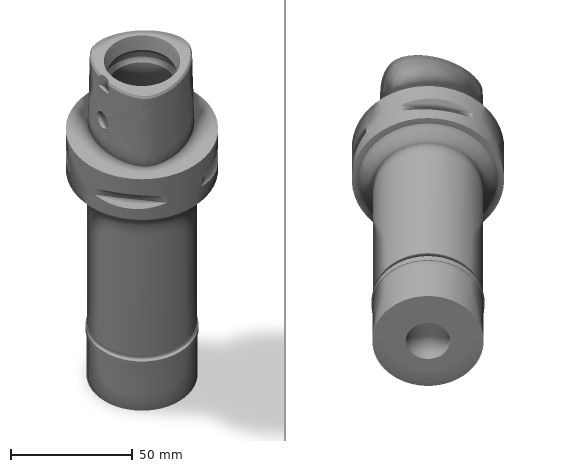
import cadquery as cq
import math


total_height = 173.0
through_hole_radius = 9.2

shank_base_width = 44.1
shank_height = 37.5
shank_taper = 1 / 20
lobe_rise = 1.5
outline_points = 36
shank_chamfer_inset = 0.7
shank_chamfer_height = 1.0
shank_base_z = total_height - shank_height
shank_chamfer_z = total_height - shank_chamfer_height

flange_radius = 31.5
flange_height = 22.5
flange_bottom_z = shank_base_z - flange_height
cone_top_radius = 28.7
body_radius = 22.8
cone_bottom_z = flange_bottom_z - (cone_top_radius - body_radius)
neck_radius = 19.7
neck_height = 2.8

groove_count = 4
groove_first_angle = 45.0
groove_floor_distance = 27.7
groove_floor_height = 3.8
groove_mouth_height = 8.0
groove_center_height = 9.9
groove_center_z = flange_bottom_z + groove_center_height

mouth_radius = 15.7
lip_radius = 14.2
lip_depth = 6.5
undercut_radius = 16.1
undercut_top_depth = 9.2
undercut_bottom_depth = 12.0
bore_radius = 14.0
bore_shoulder_depth = 13.3
bore_floor_z = shank_base_z

side_hole_radius = 4.0
side_hole_depth = 22.3
notch_radius = 5.0
notch_deepest_y = -18.0
notch_height = 5.9

nut_height = 27.5
nut_radius = 23.0
nut_rim_radius = 23.4
nut_rim_height = 2.8


def lobed_wire(width, z):
    """Closed three-lobed outline of constant width, with one lobe toward +Y."""
    def point(t):
        angle = 2 * math.pi * t
        lobe_angle = 3 * (angle - math.pi / 2)
        reach = width / 2 + lobe_rise * math.cos(lobe_angle)
        reach_slope = -3 * lobe_rise * math.sin(lobe_angle)
        return (
            reach * math.cos(angle) - reach_slope * math.sin(angle),
            reach * math.sin(angle) + reach_slope * math.cos(angle),
            z,
        )

    points = [cq.Vector(*point(index / outline_points)) for index in range(outline_points)]
    outline = cq.Edge.makeSpline(points, periodic=True)
    return cq.Wire.assembleEdges([outline])


def make_shank():
    shoulder_width = shank_base_width - shank_taper * (shank_chamfer_z - shank_base_z)
    end_width = shoulder_width - 2 * shank_chamfer_inset
    base = lobed_wire(shank_base_width, shank_base_z)
    shoulder = lobed_wire(shoulder_width, shank_chamfer_z)
    end = lobed_wire(end_width, total_height)
    return cq.Workplane("XY").newObject([cq.Solid.makeLoft([base, shoulder, end], True)])


def make_turned_body():
    neck_top_z = nut_height + neck_height
    profile = [
        (0, nut_height),
        (neck_radius, nut_height),
        (neck_radius, neck_top_z),
        (body_radius, neck_top_z),
        (body_radius, cone_bottom_z),
        (cone_top_radius, flange_bottom_z),
        (flange_radius, flange_bottom_z),
        (flange_radius, shank_base_z),
        (0, shank_base_z),
    ]
    return cq.Workplane("XZ").polyline(profile).close().revolve(360, (0, 0), (0, 1))


def make_bore():
    """Stepped bore: tapered mouth, undercut, wide bore, then the narrow through hole."""
    profile = [
        (0, nut_height),
        (through_hole_radius, nut_height),
        (through_hole_radius, bore_floor_z),
        (bore_radius, bore_floor_z),
        (bore_radius, total_height - bore_shoulder_depth),
        (undercut_radius, total_height - undercut_bottom_depth),
        (undercut_radius, total_height - undercut_top_depth),
        (lip_radius, total_height - lip_depth),
        (mouth_radius, total_height),
        (0, total_height),
    ]
    return cq.Workplane("XZ").polyline(profile).close().revolve(360, (0, 0), (0, 1))


def make_gripper_groove(angle):
    """V cutter with a flat floor, its mouth opening at the flange surface."""
    floor_half = groove_floor_height / 2
    mouth_half = groove_mouth_height / 2
    profile = [
        (groove_floor_distance, groove_center_z - floor_half),
        (flange_radius, groove_center_z - mouth_half),
        (flange_radius, groove_center_z + mouth_half),
        (groove_floor_distance, groove_center_z + floor_half),
    ]
    cutter = cq.Workplane("XZ").polyline(profile).close().extrude(flange_radius, both=True)
    return cutter.rotate((0, 0, 0), (0, 0, 1), angle)


def make_side_hole():
    hole = cq.Workplane("XZ").center(0, total_height - side_hole_depth)
    return hole.circle(side_hole_radius).extrude(flange_radius)


def make_notch():
    notch = cq.Workplane("XY", origin=(0, notch_deepest_y - notch_radius, total_height - notch_height))
    return notch.circle(notch_radius).extrude(notch_height)


def make_holder():
    holder = make_turned_body().union(make_shank())
    holder = holder.cut(make_bore()).cut(make_side_hole()).cut(make_notch())
    for index in range(groove_count):
        angle = groove_first_angle + index * 360 / groove_count
        holder = holder.cut(make_gripper_groove(angle))
    return holder


def make_nut():
    rim_bottom_z = nut_height - nut_rim_height
    nut = cq.Workplane("XY").circle(nut_radius).extrude(rim_bottom_z)
    rim = cq.Workplane("XY").workplane(offset=rim_bottom_z).circle(nut_rim_radius).extrude(nut_rim_height)
    bore = cq.Workplane("XY").circle(through_hole_radius).extrude(nut_height)
    return nut.union(rim).cut(bore)


holder = make_holder()
nut = make_nut()
result = cq.Compound.makeCompound([holder.solids().val(), nut.solids().val()])